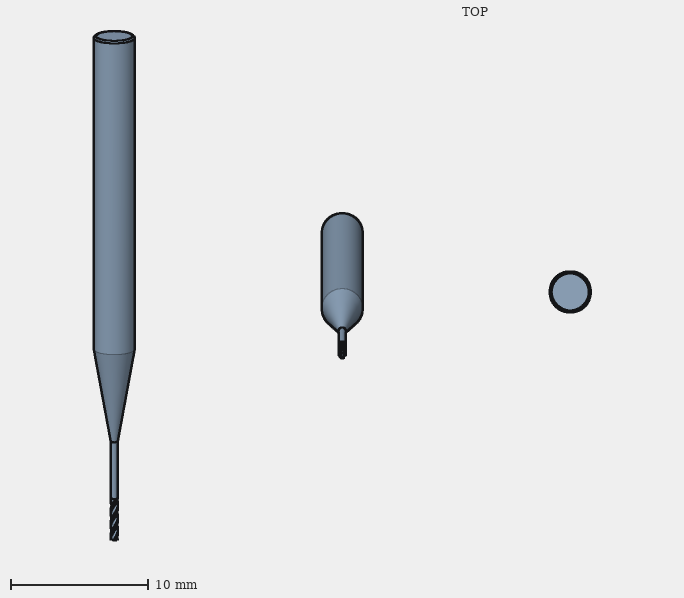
import cadquery as cq

overall_length = 38.0
shank_diameter = 3.0
shank_chamfer = 0.15

neck_top = 7.4
taper_top = 14.35

cutter_diameter = 0.55

flute_count = 3
flute_length = 3.1
flute_lead = 2.85
flute_radius = 0.2
core_radius = 0.1
first_flute_angle = 18.0


def make_holder():
    """Chamfered cylindrical shank with a taper down to the cutter diameter."""
    shank = (
        cq.Workplane("XY", origin=(0, 0, taper_top))
        .circle(shank_diameter / 2)
        .extrude(overall_length - taper_top)
        .faces(">Z")
        .chamfer(shank_chamfer)
    )
    taper = (
        cq.Workplane("XY", origin=(0, 0, neck_top))
        .circle(cutter_diameter / 2)
        .workplane(offset=taper_top - neck_top)
        .circle(shank_diameter / 2)
        .loft(ruled=True)
    )
    return shank.union(taper)


def make_flutes():
    """Round-bottomed channels, winding right-handed up from the tip."""
    twist_angle = 360 * flute_length / flute_lead
    return (
        cq.Workplane("XY")
        .polarArray(core_radius + flute_radius, first_flute_angle, 360, flute_count)
        .circle(flute_radius)
        .twistExtrude(flute_length, twist_angle, combine=False)
    )


def make_cutter():
    """Straight neck with helical flutes cut into its lower end."""
    blank = cq.Workplane("XY").circle(cutter_diameter / 2).extrude(neck_top)
    return blank.cut(make_flutes())


holder = make_holder()
cutter = make_cutter()

result = cq.Compound.makeCompound([holder.solids().val(), cutter.solids().val()])